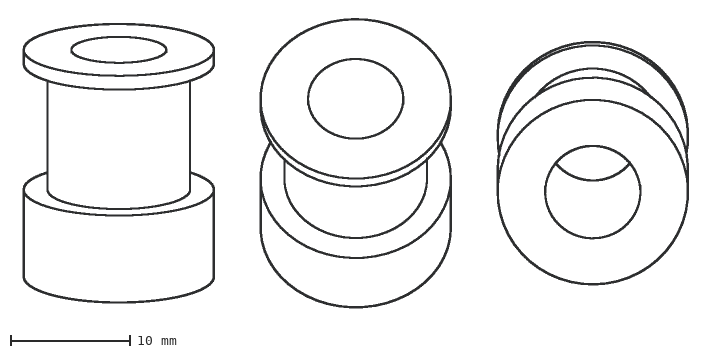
import cadquery as cq

total_height = 19.8
outer_diameter = 16.0

neck_diameter = 12.0
bore_diameter = 8.0

base_height = 7.6
flange_height = 1.2

base = cq.Workplane("XY").circle(outer_diameter / 2).extrude(base_height)

neck_height = total_height - base_height - flange_height
neck = base.faces(">Z").workplane().circle(neck_diameter / 2).extrude(neck_height)

spool = neck.faces(">Z").workplane().circle(outer_diameter / 2).extrude(flange_height)

result = spool.faces(">Z").workplane().hole(bore_diameter)